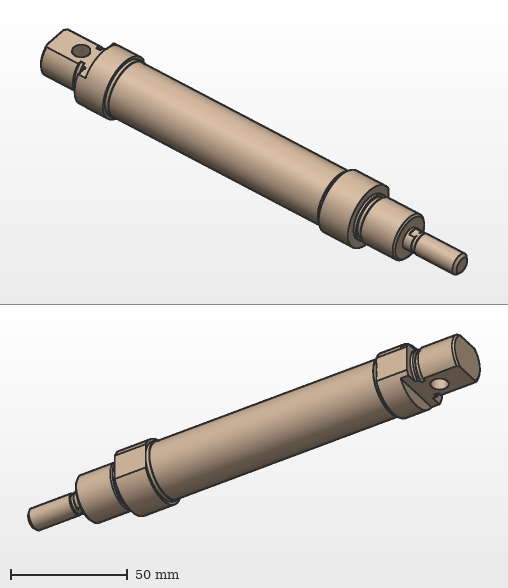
import cadquery as cq


total_length = 220.0
rear_thread_end = 18.0
rear_relief_end = 20.0
rear_collar_start = 22.0
lug_end = 26.0
rear_collar_end = 37.5
barrel_start = 39.2
barrel_end = 152.5
front_collar_start = 154.2
front_collar_end = 169.8
front_relief_start = 171.2
front_relief_end = 173.1
rod_start = 191.8
wrench_flat_start = 193.2
rod_neck_start = 196.2
rod_neck_end = 197.8

collar_radius = 15.0
shoulder_radius = 13.6
barrel_radius = 13.2
cap_thread_radius = 11.0
cap_relief_radius = 10.0
rod_radius = 5.0
rod_neck_radius = 4.6

collar_flat = shoulder_radius
lug_thickness = 16.7
pin_hole_diameter = 8.0
pin_hole_x = 14.0
wrench_width = 9.0
cap_end_chamfer = 0.9
relief_chamfer = 0.7
rod_end_chamfer = 1.3
rod_neck_chamfer = rod_radius - rod_neck_radius

cutter_size = 4 * collar_radius


def turned(profile):
    """Solid of revolution about X from the (x, radius) points of its outer profile."""
    start_x = profile[0][0]
    end_x = profile[-1][0]
    points = [(start_x, 0), *profile, (end_x, 0)]
    return cq.Workplane("XY").polyline(points).close().revolve(360, (0, 0, 0), (1, 0, 0))


def cut_parallel_flats(body, start_x, end_x, thickness):
    """Mill flats above and below the axis, leaving the given thickness along Z."""
    cutter = cq.Workplane("XY").box(
        end_x - start_x, cutter_size, cutter_size, centered=(False, True, False)
    )
    upper = cutter.translate((start_x, 0, thickness / 2))
    lower = cutter.translate((start_x, 0, -thickness / 2 - cutter_size))
    return body.cut(upper).cut(lower)


def cut_collar_flat(body):
    """Mill the collar's +Y side down to the shoulder radius."""
    cutter = cq.Workplane("XY").box(total_length, cutter_size, cutter_size, centered=(False, False, True))
    return body.cut(cutter.translate((0, collar_flat, 0)))


def make_rear_cap():
    body = turned([
        (0, cap_thread_radius - cap_end_chamfer),
        (cap_end_chamfer, cap_thread_radius),
        (rear_thread_end, cap_thread_radius),
        (rear_thread_end, cap_relief_radius),
        (rear_relief_end, cap_relief_radius),
        (rear_relief_end, cap_thread_radius - relief_chamfer),
        (rear_relief_end + relief_chamfer, cap_thread_radius),
        (rear_collar_start, cap_thread_radius),
        (rear_collar_start, collar_radius),
        (rear_collar_end, collar_radius),
        (rear_collar_end, shoulder_radius),
        (barrel_start, shoulder_radius),
    ])
    body = cut_collar_flat(body)
    body = cut_parallel_flats(body, 0, lug_end, lug_thickness)
    pin_hole = cq.Workplane("XY").center(pin_hole_x, 0).circle(pin_hole_diameter / 2)
    return body.cut(pin_hole.extrude(lug_thickness, both=True))


def make_barrel():
    return turned([(barrel_start, barrel_radius), (barrel_end, barrel_radius)])


def make_front_cap():
    body = turned([
        (barrel_end, shoulder_radius),
        (front_collar_start, shoulder_radius),
        (front_collar_start, collar_radius),
        (front_collar_end, collar_radius),
        (front_collar_end, cap_thread_radius),
        (front_relief_start, cap_thread_radius),
        (front_relief_start, cap_relief_radius),
        (front_relief_end, cap_relief_radius),
        (front_relief_end, cap_thread_radius - relief_chamfer),
        (front_relief_end + relief_chamfer, cap_thread_radius),
        (rod_start - cap_end_chamfer, cap_thread_radius),
        (rod_start, cap_thread_radius - cap_end_chamfer),
    ])
    return cut_collar_flat(body)


def make_piston_rod():
    body = turned([
        (rod_start, rod_radius),
        (rod_neck_start, rod_radius),
        (rod_neck_start, rod_neck_radius),
        (rod_neck_end, rod_neck_radius),
        (rod_neck_end + rod_neck_chamfer, rod_radius),
        (total_length - rod_end_chamfer, rod_radius),
        (total_length, rod_radius - rod_end_chamfer),
    ])
    return cut_parallel_flats(body, wrench_flat_start, rod_neck_end, wrench_width)


rear_cap = make_rear_cap()
barrel = make_barrel()
front_cap = make_front_cap()
piston_rod = make_piston_rod()

result = cq.Compound.makeCompound([rear_cap.val(), barrel.val(), front_cap.val(), piston_rod.val()])